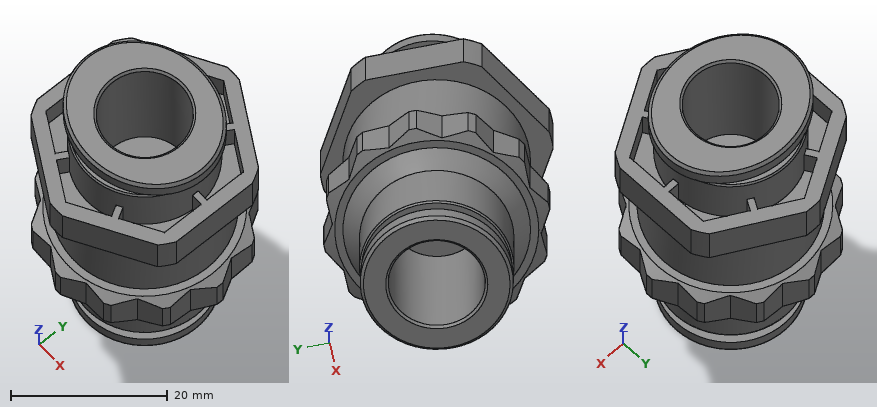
import cadquery as cq
import math

total_height = 46.0
flange_thickness = 2.2
neck_length = 1.8
neck_end = flange_thickness + neck_length
cone_bottom = 12.15
nut_bottom = 14.35
nut_top = 20.4
hex_bottom = 32.2
hex_top = 38.23
pocket_depth = 3.95

flange_diameter = 19.6
top_flange_length = 22.55
flange_chamfer = 0.4
neck_diameter = 14.25

bore_diameter = 12.4
bore_depth = 18.4
bore_chamfer = 0.3

body_diameter = 19.8
body_chamfer = 0.25
barrel_diameter = 24.0

lobe_count = 12
nut_width = 29.4
lobe_tip_width = 1.0
lobe_radius = math.hypot(nut_width / 2, lobe_tip_width / 2)
valley_radius = 13.4
nut_face_radius = 13.05
nut_bevel_drop = 0.65

hex_sides = 6
hex_width = 27.2
hex_corner_diameter = 30.1
pocket_width = 23.2
rib_width = 0.95


def cylinder(diameter, bottom, top):
    return cq.Workplane("XY").workplane(offset=bottom).circle(diameter / 2).extrude(top - bottom)


def hexagon(width, bottom, top):
    """Hexagonal prism with two of its flats facing +X and -X."""
    prism = cq.Workplane("XY").polygon(hex_sides, width / math.cos(math.pi / hex_sides)).extrude(top - bottom)
    return prism.rotate((0, 0, 0), (0, 0, 1), 180 / hex_sides).translate((0, 0, bottom))


def polar(radius, angle):
    return (radius * math.cos(angle), radius * math.sin(angle))


def make_body():
    core = cylinder(body_diameter, neck_end, total_height - neck_end)
    core = core.faces("<Z or >Z").chamfer(body_chamfer)
    barrel = cylinder(barrel_diameter, nut_bottom, hex_bottom)
    cone = (
        cq.Workplane("XY").workplane(offset=cone_bottom).circle(body_diameter / 2)
        .workplane(offset=nut_bottom - cone_bottom).circle(barrel_diameter / 2).loft()
    )
    return core.union(barrel).union(cone)


def make_sleeves():
    neck = cylinder(neck_diameter, 0, total_height)
    bottom_flange = cylinder(flange_diameter, 0, flange_thickness)
    bottom_flange = bottom_flange.faces("<Z").chamfer(flange_chamfer)
    top_flange = (
        cq.Workplane("XY").workplane(offset=total_height - flange_thickness)
        .ellipse(top_flange_length / 2, flange_diameter / 2).extrude(flange_thickness)
        .faces(">Z").chamfer(flange_chamfer)
    )
    return neck.union(bottom_flange).union(top_flange)


def make_nut():
    pitch = 2 * math.pi / lobe_count
    half_tip = math.asin(lobe_tip_width / 2 / lobe_radius)
    outline = []
    for lobe in range(lobe_count):
        angle = lobe * pitch
        outline.append(polar(lobe_radius, angle - half_tip))
        outline.append(polar(lobe_radius, angle + half_tip))
        outline.append(polar(valley_radius, angle + pitch / 2))
    star = cq.Workplane("XY").workplane(offset=nut_bottom).polyline(outline).close()
    star = star.extrude(nut_top - nut_bottom)
    bevelled_disc = (
        cq.Workplane("XZ")
        .moveTo(0, nut_bottom)
        .lineTo(nut_face_radius, nut_bottom)
        .lineTo(lobe_radius, nut_bottom + nut_bevel_drop)
        .lineTo(lobe_radius, nut_top - nut_bevel_drop)
        .lineTo(nut_face_radius, nut_top)
        .lineTo(0, nut_top)
        .close().revolve(360, (0, 0, 0), (0, 1, 0))
    )
    return star.intersect(bevelled_disc)


def make_hex_head():
    """Hexagon with an open pocket round the body, bridged by a rib behind each flat."""
    head = hexagon(hex_width, hex_bottom, hex_top)
    head = head.intersect(cylinder(hex_corner_diameter, hex_bottom, hex_top))
    floor = hex_top - pocket_depth
    head = head.cut(hexagon(pocket_width, floor, hex_top))
    rib = (
        cq.Workplane("XY").workplane(offset=floor)
        .box(pocket_width / 2, rib_width, pocket_depth, centered=(False, True, False))
    )
    for index in range(hex_sides):
        head = head.union(rib.rotate((0, 0, 0), (0, 0, 1), index * 360 / hex_sides))
    return head


def make_bore():
    """Tube socket entering from the bottom end, with a chamfered mouth."""
    mouth_radius = bore_diameter / 2 + bore_chamfer
    return (
        cq.Workplane("XZ")
        .lineTo(mouth_radius, 0)
        .lineTo(bore_diameter / 2, bore_chamfer)
        .lineTo(bore_diameter / 2, bore_depth)
        .lineTo(0, bore_depth)
        .close().revolve(360, (0, 0, 0), (0, 1, 0))
    )


bottom_bore = make_bore()
top_bore = bottom_bore.mirror("XY").translate((0, 0, total_height))

result = make_body().union(make_sleeves()).union(make_nut()).union(make_hex_head())
result = result.cut(bottom_bore).cut(top_bore)